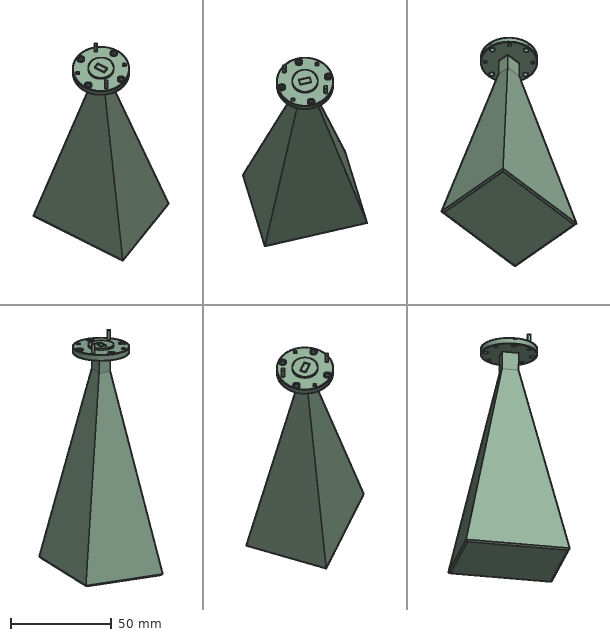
import cadquery as cq
import math

TOTAL_HEIGHT = 120.7
RIM_HEIGHT = 0.8
NECK_BOTTOM = 103.5
FLANGE_BOTTOM = 112.7
FLANGE_TOP = 115.9
BOSS_HEIGHT = 1.0

MOUTH_X = 53.0
MOUTH_Y = 42.9
RIM_INSET = 0.8
NECK_X = 8.5
NECK_Y = 6.3

FLANGE_DIAMETER = 28.4
FLANGE_CHAMFER = 0.2
BOSS_DIAMETER = 12.8
GUIDE_X = 5.7
GUIDE_Y = 2.9
GUIDE_DEPTH = 0.5

BOLT_CIRCLE_RADIUS = 12.0
SCREW_HOLE_DIAMETER = 2.5
COUNTERBORE_DIAMETER = 3.5
COUNTERBORE_DEPTH = 0.5
SCREW_HOLE_ANGLES = (0, 90, 180, 270)
PIN_DIAMETER = 1.7
FREE_PIN_HOLE_ANGLES = (45, 225)
PIN_ANGLES = (135, 315)


def loft_rectangles(bottom, lower_size, top, upper_size):
    """Flat-sided frustum between two centred rectangles."""
    return (
        cq.Workplane("XY", origin=(0, 0, bottom))
        .rect(*lower_size)
        .workplane(offset=top - bottom)
        .rect(*upper_size)
        .loft(ruled=True, combine=True)
    )


def bolt_circle_point(angle):
    """X and Y of the place on the bolt circle at an angle in degrees."""
    turn = math.radians(angle)
    return BOLT_CIRCLE_RADIUS * math.cos(turn), BOLT_CIRCLE_RADIUS * math.sin(turn)


def make_cylinders(diameter, bottom, top, angles):
    """Upright cylinders standing on the bolt circle."""
    return (
        cq.Workplane("XY", origin=(0, 0, bottom))
        .pushPoints([bolt_circle_point(angle) for angle in angles])
        .circle(diameter / 2)
        .extrude(top - bottom)
    )


def make_horn():
    """Pyramidal horn with a bevelled mouth rim and a straight neck."""
    mouth = (MOUTH_X, MOUTH_Y)
    bevelled_mouth = (MOUTH_X - 2 * RIM_INSET, MOUTH_Y - 2 * RIM_INSET)
    neck_size = (NECK_X, NECK_Y)
    rim = loft_rectangles(0, bevelled_mouth, RIM_HEIGHT, mouth)
    flare = loft_rectangles(RIM_HEIGHT, mouth, NECK_BOTTOM, neck_size)
    neck = (
        cq.Workplane("XY", origin=(0, 0, NECK_BOTTOM))
        .rect(*neck_size)
        .extrude(FLANGE_BOTTOM - NECK_BOTTOM)
    )
    return rim.union(flare).union(neck)


def make_flange():
    """Round flange with a raised boss, a shallow waveguide recess and its holes."""
    boss_top = FLANGE_TOP + BOSS_HEIGHT
    disc = (
        cq.Workplane("XY", origin=(0, 0, FLANGE_BOTTOM))
        .circle(FLANGE_DIAMETER / 2)
        .extrude(FLANGE_TOP - FLANGE_BOTTOM)
        .edges()
        .chamfer(FLANGE_CHAMFER)
    )
    boss = (
        cq.Workplane("XY", origin=(0, 0, FLANGE_TOP))
        .circle(BOSS_DIAMETER / 2)
        .extrude(BOSS_HEIGHT)
    )
    guide_recess = (
        cq.Workplane("XY", origin=(0, 0, boss_top - GUIDE_DEPTH))
        .rect(GUIDE_X, GUIDE_Y)
        .extrude(GUIDE_DEPTH)
    )
    screw_holes = make_cylinders(SCREW_HOLE_DIAMETER, FLANGE_BOTTOM, FLANGE_TOP, SCREW_HOLE_ANGLES)
    counterbores = make_cylinders(
        COUNTERBORE_DIAMETER, FLANGE_TOP - COUNTERBORE_DEPTH, FLANGE_TOP, SCREW_HOLE_ANGLES
    )
    pin_holes = make_cylinders(
        PIN_DIAMETER, FLANGE_BOTTOM, FLANGE_TOP, FREE_PIN_HOLE_ANGLES + PIN_ANGLES
    )
    flange = disc.union(boss).cut(guide_recess)
    return flange.cut(screw_holes).cut(counterbores).cut(pin_holes)


horn_antenna = make_horn().union(make_flange())

alignment_pins = [
    make_cylinders(PIN_DIAMETER, FLANGE_BOTTOM, TOTAL_HEIGHT, (angle,)).val() for angle in PIN_ANGLES
]

result = cq.Compound.makeCompound([horn_antenna.val(), *alignment_pins])